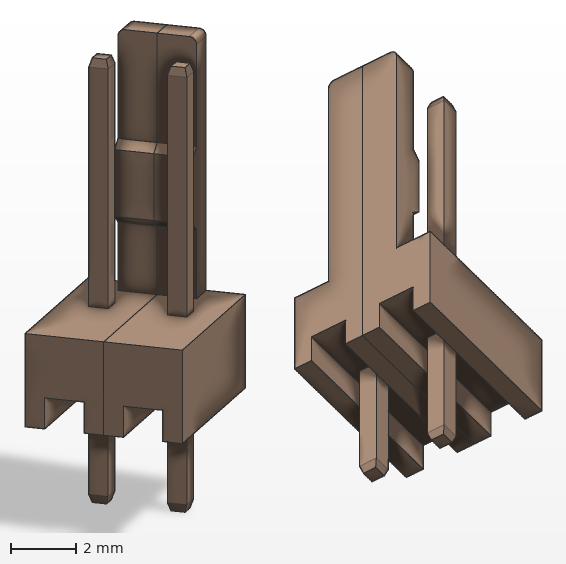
import cadquery as cq

pitch = 2.55
total_height = 14.7
base_depth = 5.9
base_bottom = 3.31
base_height = 3.0
notch_width = pitch / 2
notch_height = 1.0
pin_size = 0.63
pin_top = 14.27
pin_from_back = 2.4
tip_length = 0.28
tip_inset = 0.09
wall_thickness = 0.9
corner_radius = 0.24
ridge_projection = 0.31
ridge_bottom = 8.51
ridge_top = 11.19
ridge_bevel_height = 0.26

back_y = base_depth / 2
pin_y = back_y - pin_from_back
base_top = base_bottom + base_height
wall_width = pitch / 2
wall_front_y = back_y - wall_thickness
ridge_front_y = wall_front_y - ridge_projection


def make_base():
    """Block from X = 0 to one pitch, with a notch along Y through its underside."""
    block = cq.Workplane("XY").box(pitch, base_depth, base_height, centered=(False, True, False))
    notch = (
        cq.Workplane("XY")
        .box(notch_width, base_depth, notch_height, centered=(True, True, False))
        .translate((pitch / 2, 0, 0))
    )
    return block.cut(notch).translate((0, 0, base_bottom))


def make_latch_wall():
    """Half of the back wall: a side profile with a bevelled ridge and a rounded outer top corner."""
    profile = [
        (back_y, base_top),
        (back_y, total_height),
        (wall_front_y, total_height),
        (wall_front_y, ridge_top),
        (ridge_front_y, ridge_top - ridge_bevel_height),
        (ridge_front_y, ridge_bottom + ridge_bevel_height),
        (wall_front_y, ridge_bottom),
        (wall_front_y, base_top),
    ]
    wall = cq.Workplane("YZ").polyline(profile).close().extrude(wall_width)
    return wall.faces(">Z").edges(">X").fillet(corner_radius)


def make_pin():
    """Square pin through the base, tapered at both ends."""
    tip_size = pin_size - 2 * tip_inset
    pin = (
        cq.Workplane("XY", origin=(0, 0, tip_length))
        .rect(pin_size, pin_size)
        .extrude(pin_top - 2 * tip_length)
    )
    lower_tip = (
        cq.Workplane("XY")
        .rect(tip_size, tip_size)
        .workplane(offset=tip_length)
        .rect(pin_size, pin_size)
        .loft()
    )
    upper_tip = lower_tip.mirror("XY").translate((0, 0, pin_top))
    return pin.union(lower_tip).union(upper_tip).translate((pitch / 2, pin_y, 0))


def make_module(mirrored):
    """One connector module: base, half of the latch wall and moulded-in pin as one solid."""
    module = make_base().union(make_latch_wall()).union(make_pin())
    if mirrored:
        module = module.mirror("YZ")
    return module


modules = [make_module(mirrored) for mirrored in (True, False)]
result = cq.Compound.makeCompound([module.val() for module in modules])